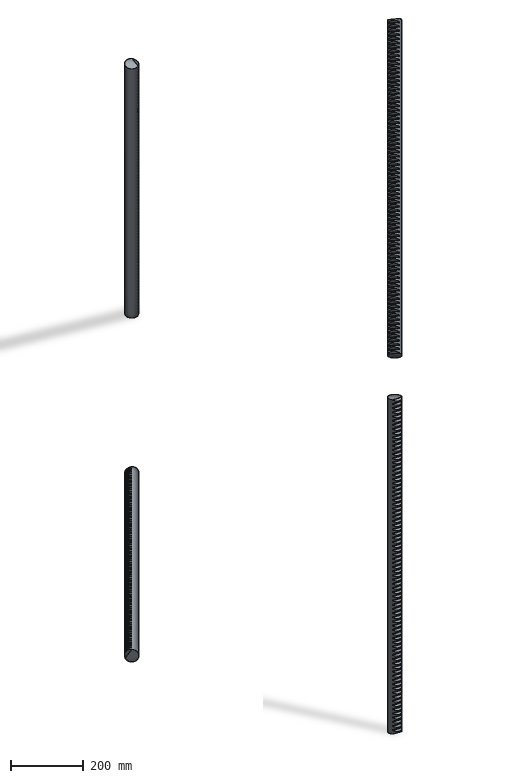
import cadquery as cq
import math

diameter = 40.0
length = 1004.58
module = 4.0
tooth_count = 80
pressure_angle = math.radians(20)
tooth_depth = 9.1
addendum = 3.7

radius = diameter / 2
pitch = math.pi * module
flank_slope = math.tan(pressure_angle)
root_y = radius - tooth_depth
crest_gap = pitch / 2 + 2 * addendum * flank_slope
root_gap = pitch / 2 - 2 * (tooth_depth - addendum) * flank_slope

first_gap_z = (length - tooth_count * pitch) / 2


def round_bar():
    """Plain cylinder standing on the XY plane, axis along Z."""
    return cq.Workplane("XY").circle(radius).extrude(length).val()


def tooth_gap(center_z):
    """Trapezoidal groove between two teeth, running straight across X."""
    outline = [
        (root_y, center_z - root_gap / 2),
        (radius, center_z - crest_gap / 2),
        (radius, center_z + crest_gap / 2),
        (root_y, center_z + root_gap / 2),
    ]
    return cq.Workplane("YZ").polyline(outline).close().extrude(radius, both=True).val()


gaps = [tooth_gap(first_gap_z + index * pitch) for index in range(tooth_count + 1)]

result = cq.Workplane(obj=round_bar().cut(*gaps))